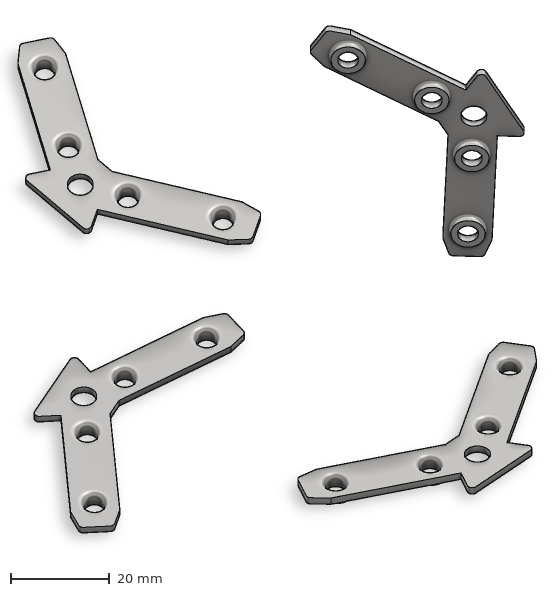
import cadquery as cq
import math

overall_length = 67.3
plate_thickness = 1.6
arm_angle = math.radians(30)
arm_half_width = 5.0
arm_end_half_width = 3.4
taper_length = 4.6
corner_radius = 1.0
web_height = 14.0
pivot_height = 7.1
pivot_diameter = 5.25
foot_offset = 5.05

first_hole_distance = 10.0
hole_pitch = 20.0
hole_radius = 2.1
mouth_radius = 3.7
boss_radius = 3.5
boss_height = 1.4
boss_root_fillet = 1.0

cos_arm = math.cos(arm_angle)
sin_arm = math.sin(arm_angle)
tan_arm = math.tan(arm_angle)

taper_angle = math.atan((arm_half_width - arm_end_half_width) / taper_length)
corner_center_across = (
    arm_end_half_width
    + corner_radius * math.tan(taper_angle)
    - corner_radius / math.cos(taper_angle)
)
corner_center_x = overall_length / 2 - corner_radius
arm_length = corner_radius + (corner_center_x - corner_center_across * sin_arm) / cos_arm


def arm_point(along, across):
    """Point on the right arm, measured from the pivot along and across its axis."""
    x = along * cos_arm - across * sin_arm
    y = pivot_height + along * sin_arm + across * cos_arm
    return (x, y)


def make_plate():
    """Symmetric plate with rounded corners at the foot and the arm ends."""
    taper_start = arm_length - taper_length
    web_half_width = (web_height - pivot_height - arm_half_width / cos_arm) / tan_arm
    foot_top = arm_point(foot_offset, -arm_half_width)
    foot_corner = (foot_top[0] + foot_top[1] * tan_arm, 0)
    lower_end = arm_point(arm_length, -arm_end_half_width)
    upper_end = arm_point(arm_length, arm_end_half_width)
    right_side = [
        foot_corner,
        foot_top,
        arm_point(taper_start, -arm_half_width),
        lower_end,
        upper_end,
        arm_point(taper_start, arm_half_width),
        (web_half_width, web_height),
    ]
    left_side = [(-x, y) for x, y in reversed(right_side)]
    plate = cq.Workplane("XY").polyline(right_side + left_side).close().extrude(plate_thickness)

    for x, y in (foot_corner, lower_end, upper_end):
        for side in (-1, 1):
            corner = cq.selectors.NearestToPointSelector((side * x, y, plate_thickness / 2))
            plate = plate.edges("|Z").edges(corner).fillet(corner_radius)
    return plate


def make_boss():
    """Ring below the plate, flaring into its underside with a concave fillet."""
    return (
        cq.Workplane("XZ")
        .moveTo(0, -boss_height)
        .lineTo(boss_radius, -boss_height)
        .lineTo(boss_radius, -boss_root_fillet)
        .radiusArc((boss_radius + boss_root_fillet, 0), boss_root_fillet)
        .lineTo(boss_radius + boss_root_fillet, plate_thickness / 2)
        .lineTo(0, plate_thickness / 2)
        .close()
        .revolve(360, (0, 0, 0), (0, 1, 0))
    )


def make_hole():
    """Through hole whose mouth rolls over into the top face of the plate."""
    roll_radius = mouth_radius - hole_radius
    return (
        cq.Workplane("XZ")
        .moveTo(0, -boss_height)
        .lineTo(hole_radius, -boss_height)
        .lineTo(hole_radius, plate_thickness - roll_radius)
        .radiusArc((mouth_radius, plate_thickness), roll_radius)
        .lineTo(0, plate_thickness)
        .close()
        .revolve(360, (0, 0, 0), (0, 1, 0))
    )


result = make_plate()
boss = make_boss()
hole = make_hole()
for distance in (first_hole_distance, first_hole_distance + hole_pitch):
    hole_x, hole_y = arm_point(distance, 0)
    for side in (-1, 1):
        place = (side * hole_x, hole_y, 0)
        result = result.union(boss.translate(place)).cut(hole.translate(place))

pivot_hole = (
    cq.Workplane("XY")
    .center(0, pivot_height)
    .circle(pivot_diameter / 2)
    .extrude(plate_thickness)
)
result = result.cut(pivot_hole)